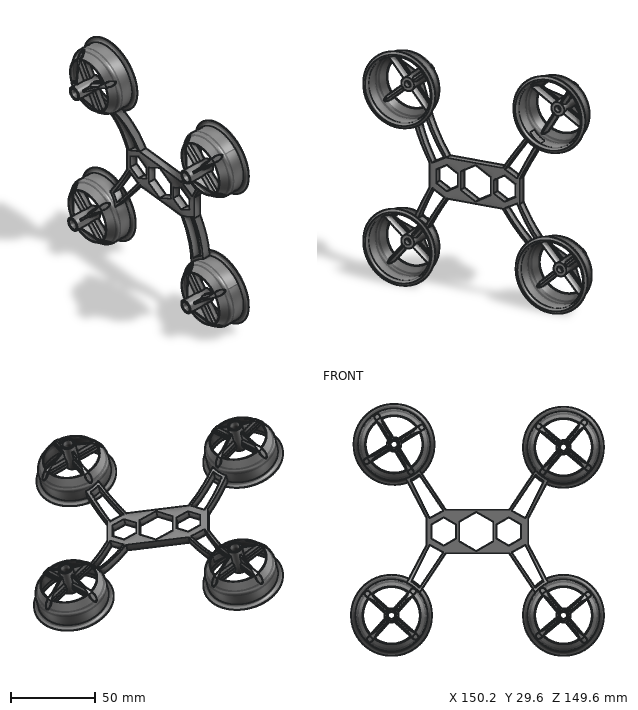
import cadquery as cq
import math


PLATE_HALF_X = 30.25
PLATE_HALF_Z = 12.95
PLATE_DEPTH = 5.0
PLATE_END_HALF_Z = 8.0

HEX_ROW_X = -0.75
HEX_PITCH = 19.3
HEX_LARGE_FLATS = 20.0
HEX_SMALL_FLATS = 14.4
HEX_HALF_ANGLE = 30.0

ARM_OUTER_END = (44.5, 35.1)
ARM_INNER_START = (18.8, PLATE_HALF_Z)
ARM_INNER_END = (36.5, 39.5)
ARM_ROOT_X = 20.0
WINDOW_OUTER_START = (28.4, 8.0)
WINDOW_OUTER_END = (42.3, 36.0)
WINDOW_INNER_START = (20.3, 12.4)
WINDOW_INNER_END = (37.3, 37.7)
WINDOW_DUCT_GAP = 1.8
ARM_BEND_RADIUS = 50.0
ARM_BEND_ANGLE = 30.0

ROTOR_X = 51.0
ROTOR_TOP_Z = 50.0
ROTOR_BOTTOM_Z = -49.7
ROTORS = [
    (ROTOR_X, ROTOR_TOP_Z, 50.0),
    (ROTOR_X, ROTOR_BOTTOM_Z, 40.0),
    (-ROTOR_X, ROTOR_BOTTOM_Z, 48.0),
    (-49.5, 51.7, 31.5),
]

WALL = 0.6
DUCT_RADIUS = 21.4
LIP_RADIUS = 24.11
LIP_TOP_RADIUS = 22.3
LIP_EDGE_TOP_Y = -0.9
LIP_EDGE_Y = -1.3
FLARE_END_Y = -2.9
DUCT_END_Y = -10.7
SHOULDER_BULGE = 0.3
CONE_START_RADIUS = 20.5
CONE_START_Y = -13.4
CONE_END_RADIUS = 17.3
CONE_END_Y = -18.1

HUB_RADIUS = 4.35
HUB_TOP_Y = -11.8
HUB_END_Y = -29.57
SOCKET_RADIUS = 3.2
SOCKET_FLOOR_Y = -16.0
SHAFT_HOLE_RADIUS = 2.0
SPOKE_COUNT = 4
SPOKE_ROOT_RADIUS = 3.7
NOSE_TIP_Y = -12.0
BAR_WIDTH = 3.5
BAR_END_Y = -16.4
RIB_WIDTH = 3.0
RIB_END_Y = -18.4
GUSSET_TOP_Y = -20.5
GUSSET_WIDTH = 1.2
GUSSET_END_RADIUS = 4.0
GUSSET_END_Y = -26.3
SPOKE_STANDOFF = 0.4


def front_plane(y=0.0):
    """Sketch plane with local (x, y) = (X, Z) whose extrusions run towards -Y."""
    return cq.Workplane("XZ", origin=(0, y, 0))


def point_on_circle(centre, radius, angle):
    """Point at an angle in degrees on a circle."""
    a = math.radians(angle)
    return (centre[0] + radius * math.cos(a), centre[1] + radius * math.sin(a))


def make_plate():
    corner = ARM_INNER_START[0]
    quadrant = [(PLATE_HALF_X, PLATE_END_HALF_Z), WINDOW_OUTER_START, WINDOW_INNER_START,
                (corner, PLATE_HALF_Z)]
    outline = list(quadrant)
    outline += [(-x, z) for x, z in reversed(quadrant)]
    outline += [(-x, -z) for x, z in quadrant]
    outline += [(x, -z) for x, z in reversed(quadrant)]
    return front_plane().polyline(outline).close().extrude(PLATE_DEPTH)


def make_hex_windows():
    """Cutters for the row of three hexagonal windows, points towards +Z and -Z."""
    windows = cq.Workplane("XZ")
    for step, flats in ((-1, HEX_SMALL_FLATS), (0, HEX_LARGE_FLATS), (1, HEX_SMALL_FLATS)):
        hexagon = (
            front_plane()
            .center(HEX_ROW_X + step * HEX_PITCH, 0)
            .transformed(rotate=(0, 0, HEX_HALF_ANGLE))
            .polygon(6, flats / math.cos(math.radians(HEX_HALF_ANGLE)))
            .extrude(PLATE_DEPTH)
        )
        windows = windows.add(hexagon)
    return windows.combine()


def make_arm(duct_x, duct_z):
    """One arm in the +X +Z quadrant: a windowed outline bent towards -Y.

    The window stops short of the duct centred at (duct_x, duct_z).
    """
    outline = [(ARM_ROOT_X, 0), (PLATE_HALF_X, 0), (PLATE_HALF_X, PLATE_END_HALF_Z),
               ARM_OUTER_END, ARM_INNER_END, ARM_INNER_START]
    blank_depth = -HUB_END_Y
    plan = front_plane().polyline(outline).close().extrude(blank_depth)
    window = [WINDOW_OUTER_START, WINDOW_OUTER_END, WINDOW_INNER_END, WINDOW_INNER_START]
    opening = front_plane().polyline(window).close().extrude(blank_depth)
    web = (
        front_plane()
        .center(duct_x, duct_z)
        .circle(DUCT_RADIUS + WINDOW_DUCT_GAP)
        .extrude(blank_depth)
    )
    plan = plan.cut(opening.cut(web))

    inner = ARM_BEND_RADIUS
    outer = ARM_BEND_RADIUS + PLATE_DEPTH

    bend_centre = (-outer, PLATE_HALF_Z)
    bend_middle = ARM_BEND_ANGLE / 2
    side = (
        cq.Workplane("YZ")
        .moveTo(0, 0)
        .lineTo(0, PLATE_HALF_Z)
        .threePointArc(point_on_circle(bend_centre, outer, bend_middle),
                       point_on_circle(bend_centre, outer, ARM_BEND_ANGLE))
        .lineTo(*point_on_circle(bend_centre, inner, ARM_BEND_ANGLE))
        .threePointArc(point_on_circle(bend_centre, inner, bend_middle),
                       (-PLATE_DEPTH, PLATE_HALF_Z))
        .lineTo(-PLATE_DEPTH, 0)
        .close()
        .extrude(ROTOR_X)
    )
    return plan.intersect(side)


def make_duct():
    inner = DUCT_RADIUS - WALL
    flare_width = LIP_RADIUS - DUCT_RADIUS
    flare_height = LIP_EDGE_Y - FLARE_END_Y
    flare_radius = (flare_width**2 + flare_height**2) / (2 * flare_height)
    flare_half_angle = math.degrees(math.asin(flare_width / flare_radius)) / 2
    flare_middle = point_on_circle(
        (LIP_RADIUS, LIP_EDGE_Y - flare_radius), flare_radius, 90 + flare_half_angle
    )
    mouth_radius = LIP_TOP_RADIUS - inner
    shoulder = (
        (DUCT_RADIUS + CONE_START_RADIUS) / 2 + SHOULDER_BULGE,
        (DUCT_END_Y + CONE_START_Y) / 2,
    )
    profile = (
        cq.Workplane("XY")
        .moveTo(LIP_TOP_RADIUS, 0)
        .lineTo(LIP_RADIUS, LIP_EDGE_TOP_Y)
        .lineTo(LIP_RADIUS, LIP_EDGE_Y)
        .threePointArc(flare_middle, (DUCT_RADIUS, FLARE_END_Y))
        .lineTo(DUCT_RADIUS, DUCT_END_Y)
        .threePointArc(shoulder, (CONE_START_RADIUS, CONE_START_Y))
        .lineTo(CONE_END_RADIUS, CONE_END_Y)
        .lineTo(CONE_END_RADIUS - WALL, CONE_END_Y)
        .lineTo(CONE_START_RADIUS - WALL, CONE_START_Y)
        .threePointArc((shoulder[0] - WALL, shoulder[1]), (inner, DUCT_END_Y))
        .lineTo(inner, -mouth_radius)
        .threePointArc(point_on_circle((LIP_TOP_RADIUS, -mouth_radius), mouth_radius, 135),
                       (LIP_TOP_RADIUS, 0))
        .close()
    )
    return profile.revolve(360, (0, 0, 0), (0, 1, 0))


def make_spoke():
    """One spoke along local +X, sloping from the duct cone down to the hub."""
    bar = BAR_WIDTH / 2
    rib = RIB_WIDTH / 2
    gusset = GUSSET_WIDTH / 2
    nose_length = NOSE_TIP_Y - BAR_END_Y
    nose_radius = (bar**2 + nose_length**2) / (2 * bar)
    flank_angle = math.degrees(math.asin(nose_length / nose_radius)) / 2
    flank_y, flank_half = point_on_circle(
        (BAR_END_Y, bar - nose_radius), nose_radius, 90 - flank_angle
    )
    nose_tip = (NOSE_TIP_Y, 0)
    section = (
        cq.Workplane("YZ")
        .moveTo(*nose_tip)
        .threePointArc((flank_y, flank_half), (BAR_END_Y, bar))
        .lineTo(BAR_END_Y, rib)
        .lineTo(RIB_END_Y, rib)
        .lineTo(GUSSET_TOP_Y, gusset)
        .lineTo(HUB_END_Y, gusset)
        .lineTo(HUB_END_Y, -gusset)
        .lineTo(GUSSET_TOP_Y, -gusset)
        .lineTo(RIB_END_Y, -rib)
        .lineTo(BAR_END_Y, -rib)
        .lineTo(BAR_END_Y, -bar)
        .threePointArc((flank_y, -flank_half), nose_tip)
        .close()
        .extrude(DUCT_RADIUS)
    )
    side = (
        cq.Workplane("XY")
        .polyline([(SPOKE_ROOT_RADIUS, HUB_TOP_Y), (DUCT_RADIUS - WALL / 2, HUB_TOP_Y),
                   (CONE_START_RADIUS + SPOKE_STANDOFF, CONE_START_Y),
                   (CONE_END_RADIUS + SPOKE_STANDOFF, CONE_END_Y),
                   (GUSSET_END_RADIUS, GUSSET_END_Y), (SPOKE_ROOT_RADIUS, GUSSET_END_Y)])
        .close()
        .extrude(BAR_WIDTH, both=True)
    )
    return section.intersect(side)


def make_rotor():
    rotor = make_duct()
    hub = front_plane(HUB_TOP_Y).circle(HUB_RADIUS).extrude(HUB_TOP_Y - HUB_END_Y)
    rotor = rotor.union(hub)
    spoke = make_spoke()
    for i in range(SPOKE_COUNT):
        rotor = rotor.union(spoke.rotate((0, 0, 0), (0, 1, 0), i * 360 / SPOKE_COUNT))
    socket = front_plane(SOCKET_FLOOR_Y).circle(SOCKET_RADIUS).extrude(SOCKET_FLOOR_Y - HUB_END_Y)
    shaft_hole = front_plane().circle(SHAFT_HOLE_RADIUS).extrude(-HUB_END_Y)
    return rotor.cut(socket).cut(shaft_hole)


def place(solid, x, z, angle):
    """Turn counter-clockwise as seen from -Y, then move to (x, z)."""
    return solid.rotate((0, 0, 0), (0, 1, 0), -angle).translate((x, 0, z))


frame = make_plate()
for x, z, _ in ROTORS:
    arm = make_arm(abs(x), abs(z))
    if x < 0:
        arm = arm.mirror("YZ")
    if z < 0:
        arm = arm.mirror("XY")
    frame = frame.union(arm)
frame = frame.cut(make_hex_windows())

duct_bore = front_plane().circle(DUCT_RADIUS - WALL / 2).extrude(-HUB_END_Y)
rotor = make_rotor()
for x, z, spoke_angle in ROTORS:
    frame = frame.cut(place(duct_bore, x, z, spoke_angle))
    frame = frame.union(place(rotor, x, z, spoke_angle))

result = frame